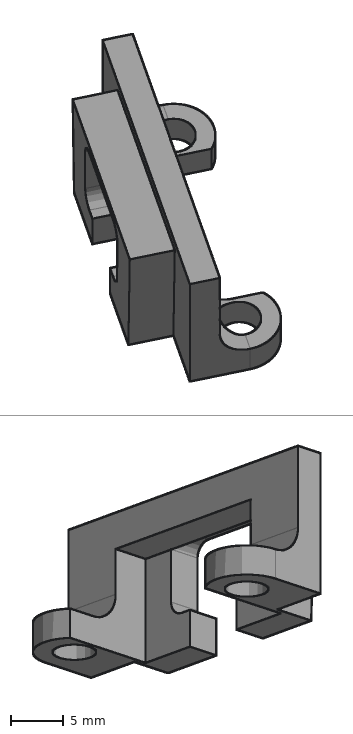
import cadquery as cq

length = 32.0
height = 14.4
plate_thickness = 3.0

block_depth = 4.48
block_height = 13.2
block_top_width = 21.0
block_bottom_width = 19.97

window_width = 11.7
window_bottom = 3.78
window_top = 12.2
window_radius = 1.5
slot_width = 6.45

ear_width = 6.6
recess_width = length - 2 * ear_width
recess_height = 10.65
recess_into_block = 0.95

ear_thickness = 3.0
ear_radius = 4.0
hole_diameter = 4.2
root_radius = 3.0
ear_center_x = length / 2 - ear_radius
ear_center_y = plate_thickness + root_radius


def box(width, y_front, y_back, z_bottom, z_top):
    """Box centred on X between the given Y and Z limits."""
    return (
        cq.Workplane("XY")
        .box(width, y_back - y_front, z_top - z_bottom, centered=(True, False, False))
        .translate((0, y_front, z_bottom))
    )


def make_block():
    """Block whose sides lean outward towards the top."""
    outline = [
        (-block_bottom_width / 2, 0),
        (block_bottom_width / 2, 0),
        (block_top_width / 2, block_height),
        (-block_top_width / 2, block_height),
    ]
    return cq.Workplane("XZ").polyline(outline).close().extrude(block_depth)


def make_ear():
    """Right-hand ear: filleted root, rounded end and vertical screw hole."""
    inner_x = length / 2 - ear_width
    root_top = ear_thickness + root_radius
    profile = (
        cq.Workplane("YZ", origin=(inner_x, 0, 0))
        .lineTo(ear_center_y + ear_radius, 0)
        .lineTo(ear_center_y + ear_radius, ear_thickness)
        .lineTo(ear_center_y, ear_thickness)
        .radiusArc((plate_thickness, root_top), root_radius)
        .lineTo(0, root_top)
        .close()
        .extrude(ear_width)
    )
    round_end = (
        cq.Workplane("XY")
        .center(ear_center_x, ear_center_y)
        .circle(ear_radius)
        .extrude(root_top)
    )
    footprint = box(length, 0, ear_center_y, 0, root_top).union(round_end)
    return profile.intersect(footprint)


def make_hole():
    return (
        cq.Workplane("XY")
        .center(ear_center_x, ear_center_y)
        .circle(hole_diameter / 2)
        .extrude(height)
    )


def make_opening():
    """Window and slot through the block's front wall."""
    window = box(window_width, -block_depth, -recess_into_block, window_bottom, window_top)
    window = window.edges("|Y").fillet(window_radius)
    slot = box(slot_width, -block_depth, -recess_into_block, 0, window_top - window_radius)
    return window.union(slot)


result = box(length, 0, plate_thickness, 0, height).union(make_block())
ear = make_ear()
hole = make_hole()
result = result.union(ear).union(ear.mirror("YZ"))
result = result.cut(hole).cut(hole.mirror("YZ"))
result = result.cut(make_opening())
result = result.cut(box(recess_width, -recess_into_block, plate_thickness, 0, recess_height))